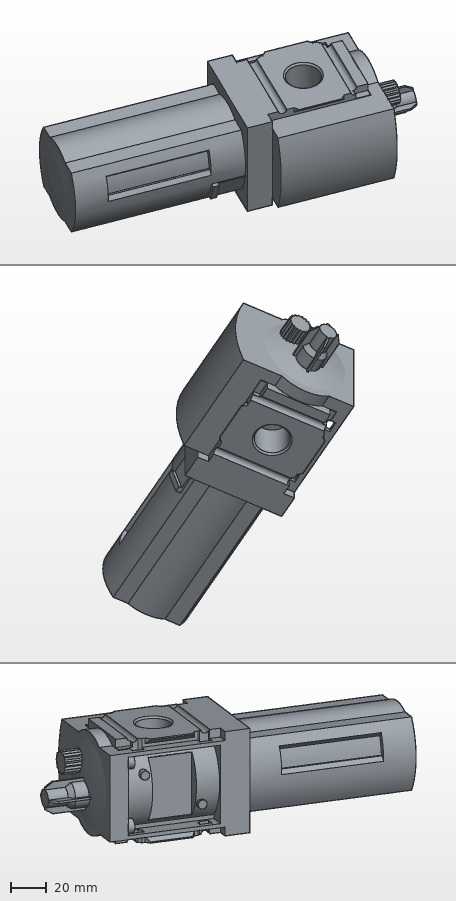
import cadquery as cq
import math


overall_width = 75.7
overall_length = 215.8

body_width = 62.0
half_width = body_width / 2
body_back = 85.2
port_y = 46.0
frame_start = 15.0
frame_end = 77.3
frame_height = 25.7
core_half_width = 24.2
hump_half_width = 15.0
hump_height = 30.5

port_radius = 10.1
port_mouth_radius = 11.2
port_depth = 21.5
groove_offset = 22.0
groove_radius = 2.5
groove_lift = 0.5
notch_inner_x = 20.0
notch_front = 68.2
notch_level = 26.1
lip_reach = 2.5
lip_root_height = 27.6
lip_edge_height = 30.2
lip_root_length = 30.2
lip_edge_length = 26.0

slot_outer_x = 27.6
slot_inner_x = 22.9
slot_far = 24.2
slot_near = 17.0
slot_neck = 18.8

window_length = 56.3
window_half_height = 23.3
window_floor_x = 21.0
barrel_radius = 29.5
flat_length = 26.8
flat_half_height = 18.5
flat_middle_y = 45.3
flat_x = 22.0
pin_diameter = 5.5
pin_offset_y = 17.5
pin_offset_z = 10.8
pin_tip_x = 30.2
lug_radius = 4.3
lug_length = 4.0
lug_x = 26.5
lug_z = 19.2

cover_edge_x = 39.7
cover_crown_x = overall_width - half_width

bowl_length = 102.7
bowl_half_width = 28.0
bowl_flat_height = 21.8
bowl_flat_end = 21.4
bowl_radius = 24.8
foot_outer_radius = 21.5
foot_inner_radius = 11.7
foot_height = 0.9
sight_start = 20.7
sight_length = 62.2
sight_top = 16.0
sight_wall_run = 2.5
sight_ledge_x = 26.0
sight_depth = 3.2

latch_length = 16.6
latch_nub_length = 3.7
latch_root = 2.2
latch_lift = 0.9
latch_nub_lift = 2.8
latch_high = (27.5, -7.1)
latch_low = (23.0, -19.5)

dome_radius = 25.5
dome_height = 3.5
knob_z = -5.8
knob_tip = overall_length - bowl_length - foot_height
knob_fin_width = 19.0
knob_tip_width = 13.0
knob_chamfer_length = 4.7
fin_thickness = 1.3
stem_radius = 5.5
skirt_radius = 7.8
skirt_top = 100.1
skirt_shoulder = 96.7
screw_x = 10.1
screw_z = 10.5
screw_radius = 7.0
screw_root_radius = 6.0
screw_tip = 98.2
screw_teeth = 18


def block(x0, x1, y0, y1, z0, z1):
    """Box between the given limits."""
    return cq.Workplane("XY").box(x1 - x0, y1 - y0, z1 - z0, centered=False).translate((x0, y0, z0))


def along_y(outline, y0, y1):
    """Extrude an XZ outline from y0 to y1."""
    return outline.extrude(-(y1 - y0)).translate((0, y0, 0))


def round_bar(radius, x, z, y0, y1):
    """Cylinder parallel to Y."""
    return along_y(cq.Workplane("XZ").center(x, z).circle(radius), y0, y1)


def turned(profile):
    """Revolve a closed XY profile about the Y axis."""
    return profile.close().revolve(360, (0, 0, 0), (0, 1, 0))


def both_z(shape):
    """A shape together with its mirror image below."""
    return shape.union(shape.mirror("XY"))


def both_x(shape):
    """A shape together with its mirror image on the other side."""
    return shape.union(shape.mirror("YZ"))


def lips():
    """Tapered lips overhanging the frames at the four long edges of the raised block."""
    outer_x = core_half_width + lip_reach
    section = (
        cq.Workplane("XZ")
        .moveTo(0, lip_root_height)
        .lineTo(core_half_width, lip_root_height)
        .lineTo(outer_x, lip_edge_height)
        .lineTo(outer_x, half_width)
        .lineTo(0, half_width)
        .close()
    )
    wedge = along_y(section, frame_start, frame_end)
    plan = (
        cq.Workplane("XY")
        .moveTo(0, port_y - lip_root_length / 2)
        .lineTo(core_half_width, port_y - lip_root_length / 2)
        .lineTo(outer_x, port_y - lip_edge_length / 2)
        .lineTo(outer_x, port_y + lip_edge_length / 2)
        .lineTo(core_half_width, port_y + lip_root_length / 2)
        .lineTo(0, port_y + lip_root_length / 2)
        .close()
        .extrude(half_width)
    )
    return both_z(both_x(wedge.intersect(plan)))


def port():
    """Countersunk blind port in the top face."""
    mouth = port_mouth_radius - port_radius
    hole = (
        cq.Workplane("XY", origin=(0, port_y, half_width - port_depth))
        .circle(port_radius)
        .extrude(port_depth)
    )
    cone = cq.Solid.makeCone(
        port_radius, port_mouth_radius, mouth, cq.Vector(0, port_y, half_width - mouth), cq.Vector(0, 0, 1)
    )
    return hole.union(cq.Workplane(cone))


def grooves():
    """Two round-bottomed grooves across the top face."""
    axis_z = half_width + groove_lift
    return (
        cq.Workplane("YZ", origin=(-half_width, 0, 0))
        .pushPoints([(port_y - groove_offset, axis_z), (port_y + groove_offset, axis_z)])
        .circle(groove_radius)
        .extrude(body_width)
    )


def frame_slots():
    """Slots through the left frame at the groove ends, each with a one-sided taper into the raised block."""
    slots = cq.Workplane("XY")
    for side in (-1, 1):
        far_y = port_y + side * slot_far
        near_y = port_y + side * slot_near
        neck_y = port_y + side * slot_neck
        slot = (
            cq.Workplane("XY", origin=(0, 0, window_half_height))
            .moveTo(-slot_outer_x, far_y)
            .lineTo(-slot_inner_x, far_y)
            .lineTo(-slot_inner_x, neck_y)
            .lineTo(-core_half_width, near_y)
            .lineTo(-slot_outer_x, near_y)
            .close()
            .extrude(half_width - window_half_height)
        )
        slots = slots.union(slot)
    return slots


def body():
    """Square body with stepped frames and the humped back plate."""
    shape = block(-half_width, half_width, 0, frame_start, -half_width, half_width)
    shape = shape.union(block(-half_width, half_width, 0, body_back, -frame_height, frame_height))
    shape = shape.union(block(-core_half_width, core_half_width, 0, frame_end, -half_width, half_width))
    hump = (
        cq.Workplane("XZ")
        .moveTo(-hump_half_width, 0)
        .lineTo(-hump_half_width, frame_height)
        .threePointArc((0, hump_height), (hump_half_width, frame_height))
        .lineTo(hump_half_width, 0)
        .close()
    )
    shape = shape.union(both_z(along_y(hump, frame_end, body_back)))
    shape = shape.union(lips())
    notch = block(notch_inner_x, core_half_width, notch_front, frame_end, notch_level, half_width)
    return shape.cut(both_z(port())).cut(both_z(grooves())).cut(both_z(both_x(notch)))


def window_y():
    """Front and back limits of the side window."""
    return port_y - window_length / 2, port_y + window_length / 2


def side_window():
    """Rectangular window in the left side."""
    return block(-half_width, -window_floor_x, *window_y(), -window_half_height, window_half_height)


def window_fittings():
    """Barrel with a flat, two pins and two corner lugs standing in the window."""
    y0, y1 = window_y()
    barrel = round_bar(barrel_radius, 0, 0, y0, y1).intersect(side_window())
    flat_y = (flat_middle_y - flat_length / 2, flat_middle_y + flat_length / 2)
    barrel = barrel.cut(block(-half_width, -flat_x, *flat_y, -flat_half_height, flat_half_height))
    pins = (
        cq.Workplane("YZ", origin=(-pin_tip_x, 0, 0))
        .pushPoints([(port_y + side * pin_offset_y, side * pin_offset_z) for side in (-1, 1)])
        .circle(pin_diameter / 2)
        .extrude(pin_tip_x - window_floor_x)
    )
    lug = round_bar(lug_radius, -lug_x, lug_z, y1 - lug_length, y1)
    return barrel.union(pins).union(both_z(lug))


def cover():
    """Crowned cover on the right side."""
    outline = (
        cq.Workplane("XZ")
        .moveTo(half_width, -frame_height)
        .lineTo(cover_edge_x, -frame_height)
        .threePointArc((cover_crown_x, 0), (cover_edge_x, frame_height))
        .lineTo(half_width, frame_height)
        .close()
    )
    return along_y(outline, frame_start, body_back)


def bowl_side_x(z, depth=0.0):
    """X of the bulging right side at height z, or of the curve lying the given depth inside it."""
    bulge = bowl_half_width - bowl_flat_end
    radius = (bowl_flat_height**2 + bulge**2) / (2 * bulge)
    return bowl_half_width - radius + math.sqrt((radius - depth) ** 2 - z**2)


def sight_floor_x(z):
    """X of the curved sight slot floor at height z."""
    return bowl_side_x(z, sight_depth)


def bowl():
    """Bowl with bulging sides, round humps above and below, a shallow conical foot and two sight slots."""
    outline = (
        cq.Workplane("XZ")
        .moveTo(-bowl_flat_end, -bowl_flat_height)
        .lineTo(bowl_flat_end, -bowl_flat_height)
        .threePointArc((bowl_half_width, 0), (bowl_flat_end, bowl_flat_height))
        .lineTo(-bowl_flat_end, bowl_flat_height)
        .threePointArc((-bowl_half_width, 0), (-bowl_flat_end, -bowl_flat_height))
        .close()
    )
    shape = along_y(outline, -bowl_length, 0).union(round_bar(bowl_radius, 0, 0, -bowl_length, 0))
    foot = cq.Solid.makeCone(
        foot_outer_radius, foot_inner_radius, foot_height, cq.Vector(0, -bowl_length, 0), cq.Vector(0, -1, 0)
    )
    low_z = sight_wall_run
    high_z = sight_top - sight_wall_run
    sight = (
        cq.Workplane("XZ")
        .moveTo(sight_floor_x(low_z), low_z)
        .lineTo(sight_ledge_x, low_z)
        .lineTo(bowl_half_width, 0)
        .lineTo(bowl_half_width, sight_top)
        .lineTo(bowl_side_x(sight_top), sight_top)
        .lineTo(sight_floor_x(high_z), high_z)
        .threePointArc((sight_floor_x(sight_top / 2), sight_top / 2), (sight_floor_x(low_z), low_z))
        .close()
    )
    sights = both_x(along_y(sight, -sight_start - sight_length, -sight_start))
    return shape.union(cq.Workplane(foot)).cut(sights)


def latch():
    """Thin latch on the lower right of the bowl, ending in a raised nub."""

    def strip(lift, y0, y1):
        (high_x, high_z), (low_x, low_z) = latch_high, latch_low
        outline = (
            cq.Workplane("XZ")
            .moveTo(high_x - latch_root, high_z)
            .lineTo(high_x + lift, high_z)
            .lineTo(low_x + lift, low_z)
            .lineTo(low_x - latch_root, low_z)
            .close()
        )
        return along_y(outline, y0, y1)

    return strip(latch_lift, -latch_length, 0).union(
        strip(latch_nub_lift, -latch_length - latch_nub_length, -latch_length)
    )


def dome():
    """Shallow dome on the back plate, rooted inside it."""
    sphere_radius = (dome_radius**2 + dome_height**2) / (2 * dome_height)
    mid_x = dome_radius / 2
    mid_y = body_back + dome_height - sphere_radius + math.sqrt(sphere_radius**2 - mid_x**2)
    profile = (
        cq.Workplane("XY")
        .moveTo(0, frame_end)
        .lineTo(dome_radius, frame_end)
        .lineTo(dome_radius, body_back)
        .threePointArc((mid_x, mid_y), (0, body_back + dome_height))
    )
    return turned(profile)


def knob():
    """Oil knob: a stem with a wider skirt and two thin crossed fins."""
    stem = turned(
        cq.Workplane("XY")
        .moveTo(0, body_back)
        .lineTo(skirt_radius, body_back)
        .lineTo(skirt_radius, skirt_shoulder)
        .lineTo(stem_radius, skirt_top)
        .lineTo(stem_radius, knob_tip)
        .lineTo(0, knob_tip)
    )
    fin = (
        cq.Workplane("XY", origin=(0, 0, -fin_thickness / 2))
        .moveTo(-knob_fin_width / 2, body_back)
        .lineTo(knob_fin_width / 2, body_back)
        .lineTo(knob_fin_width / 2, knob_tip - knob_chamfer_length)
        .lineTo(knob_tip_width / 2, knob_tip)
        .lineTo(-knob_tip_width / 2, knob_tip)
        .lineTo(-knob_fin_width / 2, knob_tip - knob_chamfer_length)
        .close()
        .extrude(fin_thickness)
    )
    cross_fin = fin.rotate((0, 0, 0), (0, 1, 0), 90)
    return stem.union(fin).union(cross_fin).translate((0, 0, knob_z))


def knurled_screw():
    """Knurled adjusting screw beside the knob."""
    points = []
    for step in range(2 * screw_teeth):
        angle = math.pi * step / screw_teeth
        radius = screw_root_radius if step % 2 else screw_radius
        points.append((screw_x + radius * math.cos(angle), screw_z + radius * math.sin(angle)))
    return along_y(cq.Workplane("XZ").polyline(points).close(), body_back, screw_tip)


window_cavity = side_window().cut(window_fittings())
part = body().cut(window_cavity).cut(both_z(frame_slots()))
for piece in (cover(), bowl().union(latch()), dome(), knob(), knurled_screw()):
    part = part.union(piece)
result = part.solids()